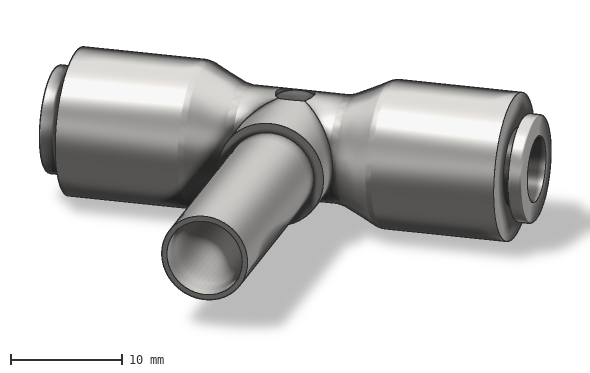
import cadquery as cq

length = 45.1
sleeve_diameter = 13.5
sleeve_radius = sleeve_diameter / 2
waist_radius = 4.9
neck_radius = 3.6
collar_radius = 4.9
collar_width = 1.3
collar_rounding = 0.23
bore_radius = 3.0
sleeve_inset = 2.08
taper_start = 13.8
taper_end = 17.65
shoulder_rounding = 1.25
waist_rounding = 1.7
selection_margin = 0.45

total_depth = 36.2
stem_reach = total_depth - sleeve_radius
stem_radius = 4.0
stem_bore_radius = 3.5
boss_radius = 4.9
boss_reach = 7.9

recess_radius = 1.75
recess_floor = 4.5


def cylinder_x(radius, width, start):
    return cq.Workplane("YZ", origin=(start, 0, 0)).circle(radius).extrude(width)


def branch_cylinder(radius, reach):
    """Cylinder from the run axis out along -Y."""
    return cq.Workplane("XZ").circle(radius).extrude(reach)


def round_ring_edge(body, position, rounding):
    """Fillet the circular edge lying at the given X position."""
    slab = cq.selectors.BoxSelector(
        (position - selection_margin, -length, -length),
        (position + selection_margin, length, length),
        boundingbox=True,
    )
    return body.edges(slab).edges("%CIRCLE").fillet(rounding)


def make_run_half():
    """Left half of the run: collar, neck, sleeve, taper and half the waist."""
    face = -length / 2
    sleeve_face = face + sleeve_inset
    shoulder = face + taper_start
    waist = face + taper_end

    body = (
        cq.Workplane("XY")
        .polyline([
            (sleeve_face, 0),
            (sleeve_face, sleeve_radius),
            (shoulder, sleeve_radius),
            (waist, waist_radius),
            (0, waist_radius),
            (0, 0),
        ])
        .close()
        .revolve(360, (0, 0, 0), (1, 0, 0))
    )
    body = round_ring_edge(body, shoulder, shoulder_rounding)
    body = round_ring_edge(body, waist, waist_rounding)

    collar = cylinder_x(collar_radius, collar_width, face).edges("%CIRCLE").fillet(collar_rounding)
    neck = cylinder_x(neck_radius, sleeve_inset, face + collar_width / 2)
    return body.union(neck).union(collar)


def make_recess():
    return (
        cq.Workplane("XY", origin=(0, 0, recess_floor))
        .circle(recess_radius)
        .extrude(sleeve_radius - recess_floor)
    )


run_half = make_run_half()
run = run_half.union(run_half.mirror("YZ"))
boss = branch_cylinder(boss_radius, boss_reach)
stem = branch_cylinder(stem_radius, stem_reach)

result = (
    run.union(boss)
    .union(stem)
    .cut(cylinder_x(bore_radius, length, -length / 2))
    .cut(branch_cylinder(stem_bore_radius, stem_reach))
    .cut(make_recess())
)